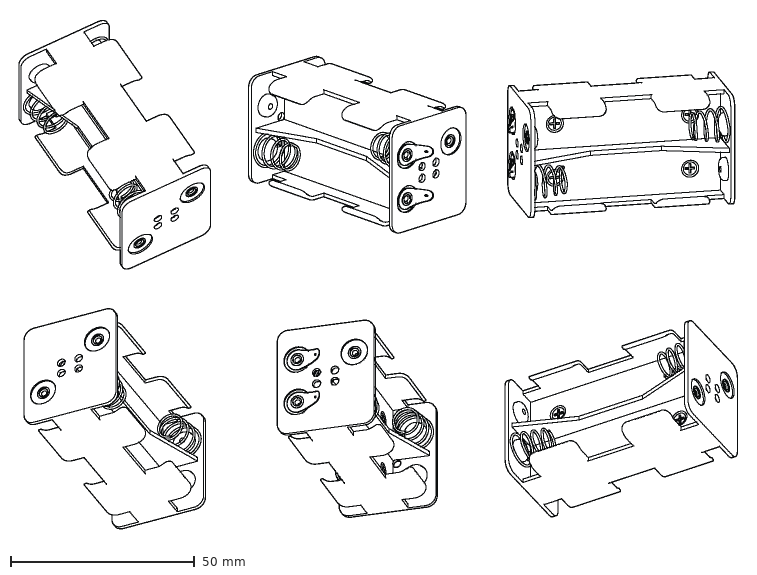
import cadquery as cq
import math

housing_length = 57.1
housing_depth = 27.7
housing_height = 31.0
sheet = 1.15
plate_corner_radius = 3.0
strip_half_depth = 5.9
wall_thickness = 3.0
shelf_thickness = 1.25
shelf_end_half_depth = 12.0
shelf_middle_half_length = 9.95

lug_length = 15.0
lug_center_x = 14.5
lug_bend_y = 9.35
lug_radius = 3.95
lug_angle = math.radians(75)
lug_end_thickness = 0.65
lug_edge_radius = 0.2
lug_corner_radius = 2.1

wire_hole_radius = 1.15
wire_hole_y = 2.605
wire_hole_z = 1.7
screw_x = 18.95
screw_z = 7.7
screw_seat_radius = 2.4
screw_head_radius = 1.85
screw_seat_depth = 0.2
cross_length = 2.65
cross_width = 0.5
cross_depth = 0.3

cell_y = 8.15
cell_z = 6.35
button_radius = 3.2
button_height = 1.6
button_rounding = 1.1
recess_radius = 3.8
recess_depth = 0.5
shank_radius = 1.25
flange_radius = 1.8
flange_height = 0.2
rivet_hole_radius = 0.8

tab_thickness = 0.3
tab_disc_radius = 3.0
tab_bend_start = 0.25
tab_bend_end = 5.7
tab_reach = 7.2
tab_bend_radius = 9.0
tab_end_half_width = 1.6
tab_hole_radius = 0.25

spring_wire_radius = 0.3
spring_pitch = 3.0
spring_turns = 3
spring_base_radius = 4.765
spring_tip_radius = 3.505
base_flat_turns = 0.5
tip_flat_turns = 0.75
points_per_turn = 24

inner_half_length = housing_length / 2 - sheet
half_height = housing_height / 2


def box(length, depth, height):
    return cq.Workplane("XY").box(length, depth, height)


def lug():
    """One lug at +X, +Y, +Z: a flat tongue that curls down around a cell and thins toward its end."""
    center_z = half_height - lug_radius
    inner_end_radius = lug_radius - lug_end_thickness

    def radial_point(radius, angle):
        return (lug_bend_y + radius * math.sin(angle), center_z + radius * math.cos(angle))

    tongue = (
        cq.Workplane("YZ", origin=(lug_center_x - lug_length / 2, 0, 0))
        .moveTo(strip_half_depth, half_height - sheet)
        .lineTo(lug_bend_y, half_height - sheet)
        .tangentArcPoint(radial_point(inner_end_radius, lug_angle), relative=False)
        .lineTo(*radial_point(lug_radius, lug_angle))
        .threePointArc(radial_point(lug_radius, lug_angle / 2), radial_point(lug_radius, 0))
        .lineTo(strip_half_depth, half_height)
        .close()
        .extrude(lug_length)
    )
    end_y, end_z = radial_point(lug_radius - lug_end_thickness / 2, lug_angle)
    corners = [
        edge
        for edge in tongue.edges().vals()
        if math.hypot(edge.Center().y - end_y, edge.Center().z - end_z) < lug_end_thickness / 4
        and abs(edge.Center().x - lug_center_x) > lug_length / 4
    ]
    rounded = tongue.newObject(corners).fillet(lug_corner_radius)
    return rounded.faces(">Z").edges("|Y").fillet(lug_edge_radius)


def end_plate(side):
    plate = (
        box(sheet, housing_depth, housing_height)
        .edges("|X")
        .fillet(plate_corner_radius)
        .translate((side * (housing_length - sheet) / 2, 0, 0))
    )
    holes = (
        cq.Workplane("YZ", origin=(-housing_length, 0, 0))
        .pushPoints([(y * wire_hole_y, z * wire_hole_z) for y in (-1, 1) for z in (-1, 1)])
        .circle(wire_hole_radius)
        .extrude(2 * housing_length)
    )
    return plate.cut(holes)


def shelf():
    """Level shelf between the upper and lower cells, widening toward both ends."""
    quarter = [
        (inner_half_length, shelf_end_half_depth),
        (shelf_middle_half_length, strip_half_depth),
    ]
    back = quarter + [(-x, y) for x, y in reversed(quarter)]
    front = [(x, -y) for x, y in reversed(back)]
    return (
        cq.Workplane("XY", origin=(0, 0, -shelf_thickness / 2))
        .polyline(back + front)
        .close()
        .extrude(shelf_thickness)
    )


def screw_seat(x, z):
    """Sunk screw head with a cross slot, cut into the front face of the wall."""
    seat = (
        cq.Workplane("XZ", origin=(x, -wall_thickness / 2, z))
        .circle(screw_seat_radius)
        .workplane(offset=-screw_seat_depth)
        .circle(screw_head_radius)
        .loft()
    )
    cross = box(cross_length, 2 * cross_depth, cross_width).union(
        box(cross_width, 2 * cross_depth, cross_length)
    )
    floor_y = -wall_thickness / 2 + screw_seat_depth
    return seat.union(cross.translate((x, floor_y, z)))


def make_housing():
    body = box(2 * inner_half_length, wall_thickness, housing_height).union(shelf())
    strip = box(2 * inner_half_length, 2 * strip_half_depth, sheet)
    corner_lug = lug()
    back_lugs = corner_lug.union(corner_lug.mirror("YZ"))
    top_lugs = back_lugs.union(back_lugs.mirror("XZ"))
    top = strip.translate((0, 0, half_height - sheet / 2)).union(top_lugs)
    body = body.union(top).union(top.mirror("XY"))
    for side in (-1, 1):
        body = body.union(end_plate(side))
        for z in (-1, 1):
            body = body.cut(screw_seat(side * screw_x, z * screw_z))
    return body


def disc(radius, x_start, x_end):
    return cq.Workplane("YZ", origin=(x_start, 0, 0)).circle(radius).extrude(x_end - x_start)


def button():
    return disc(button_radius, 0, button_height).faces(">X").edges().fillet(button_rounding)


def riveted(head, clamped_thickness):
    """Add a hollow rivet to a head, its flange outside whatever it clamps to the recess floor."""
    flange_start = -sheet + recess_depth - clamped_thickness
    outer_end = flange_start - flange_height
    rivet = disc(shank_radius, flange_start, 0).union(disc(flange_radius, outer_end, flange_start))
    bore = disc(rivet_hole_radius, outer_end, button_height)
    flare = cq.Workplane("XY").add(
        cq.Solid.makeCone(
            shank_radius, rivet_hole_radius, recess_depth,
            pnt=cq.Vector(outer_end, 0, 0), dir=cq.Vector(1, 0, 0),
        )
    )
    return head.union(rivet).cut(bore).cut(flare)


def tab():
    """Solder tab: a disc on the recess floor with a tapered tongue toward +Y that bends outward."""
    floor_x = -sheet + recess_depth
    bend_angle = math.asin((tab_bend_end - tab_bend_start) / tab_bend_radius)
    center_x = floor_x - tab_thickness - tab_bend_radius
    past_reach = tab_reach + tab_thickness

    def on_bend(radius, angle):
        return (center_x + radius * math.cos(angle), tab_bend_start + radius * math.sin(angle))

    def beyond(point):
        rise = past_reach - point[1]
        return (point[0] - rise * math.tan(bend_angle), past_reach)

    outer = tab_bend_radius
    inner = tab_bend_radius + tab_thickness
    bent_sheet = (
        cq.Workplane("XY", origin=(0, 0, -tab_disc_radius))
        .moveTo(center_x + outer, -tab_disc_radius)
        .lineTo(*on_bend(outer, 0))
        .threePointArc(on_bend(outer, bend_angle / 2), on_bend(outer, bend_angle))
        .lineTo(*beyond(on_bend(outer, bend_angle)))
        .lineTo(*beyond(on_bend(inner, bend_angle)))
        .lineTo(*on_bend(inner, bend_angle))
        .threePointArc(on_bend(inner, bend_angle / 2), on_bend(inner, 0))
        .lineTo(center_x + inner, -tab_disc_radius)
        .close()
        .extrude(2 * tab_disc_radius)
    )
    outline = (
        cq.Workplane("YZ", origin=(-housing_length, 0, 0))
        .moveTo(tab_bend_start, tab_disc_radius)
        .lineTo(tab_bend_end, tab_end_half_width)
        .threePointArc((tab_reach, 0), (tab_bend_end, -tab_end_half_width))
        .lineTo(tab_bend_start, -tab_disc_radius)
        .lineTo(0, -tab_disc_radius)
        .threePointArc((-tab_disc_radius, 0), (0, tab_disc_radius))
        .close()
        .extrude(2 * housing_length)
    )
    wire_hole = disc(tab_hole_radius, -housing_length, housing_length).translate((0, tab_bend_end, 0))
    shank_hole = disc(shank_radius, -2 * sheet, 0)
    return bent_sheet.intersect(outline).cut(wire_hole).cut(shank_hole)


def spring():
    """Tapered coil with flat end turns, and a straight wire that joins its base to the button."""
    helix_angle = 2 * math.pi * spring_turns
    first_angle = -2 * math.pi * base_flat_turns
    last_angle = helix_angle + 2 * math.pi * tip_flat_turns

    def wire_point(share):
        angle = first_angle + share * (last_angle - first_angle)
        rise = min(max(angle / helix_angle, 0), 1)
        radius = spring_base_radius + rise * (spring_tip_radius - spring_base_radius)
        x = spring_wire_radius + rise * spring_turns * spring_pitch
        return (x, -radius * math.cos(angle), -radius * math.sin(angle))

    total_turns = base_flat_turns + spring_turns + tip_flat_turns
    steps = round(total_turns * points_per_turn)
    path = cq.Workplane("XY").spline([wire_point(step / steps) for step in range(steps + 1)])
    coil = (
        cq.Workplane("XY", origin=wire_point(0))
        .circle(spring_wire_radius)
        .sweep(path, isFrenet=True)
    )
    link = (
        cq.Workplane("XZ", origin=(spring_wire_radius, 0, 0))
        .circle(spring_wire_radius)
        .extrude(-spring_base_radius)
    )
    return coil.union(link)


def make_contact(is_spring, has_tab):
    """A button, with a spring, a rivet and a solder tab where the contact has them."""
    contact = button()
    if is_spring:
        contact = contact.union(spring())
    if has_tab:
        return riveted(contact, tab_thickness).union(tab())
    if is_spring:
        return contact
    return riveted(contact, 0)


def rivet_opening():
    """Room in an end plate for a rivet shank and its outer recess."""
    recess = disc(recess_radius, -sheet, -sheet + recess_depth)
    return disc(shank_radius, -sheet, 0).union(recess)


def place(contact, side_x, side_y, side_z):
    """Turn a contact to face into its bay and move it to its cell axis."""
    if side_x > 0:
        contact = contact.rotate((0, 0, 0), (0, 1, 0), 180)
    if side_y > 0:
        contact = contact.rotate((0, 0, 0), (1, 0, 0), 180)
    return contact.translate((side_x * inner_half_length, side_y * cell_y, side_z * cell_z))


housing = make_housing()
contacts = []
for side_x in (-1, 1):
    for side_y in (-1, 1):
        for side_z in (-1, 1):
            is_spring = side_x * side_y * side_z < 0
            has_tab = side_x < 0 and side_y > 0
            if has_tab or not is_spring:
                housing = housing.cut(place(rivet_opening(), side_x, side_y, side_z))
            contacts.append(place(make_contact(is_spring, has_tab), side_x, side_y, side_z))

result = cq.Compound.makeCompound([housing.val(), *[contact.val() for contact in contacts]])